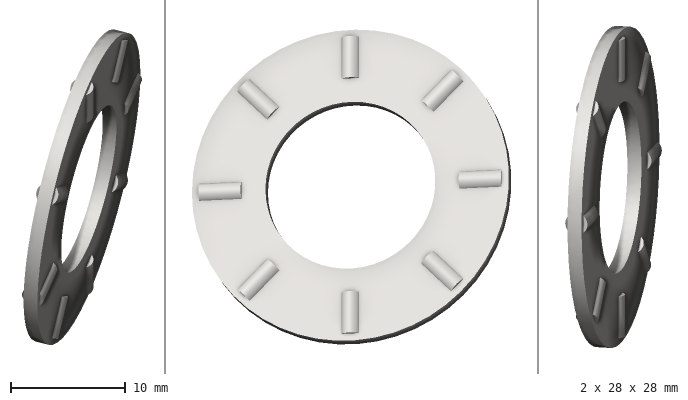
import cadquery as cq

CAGE_DIAMETER = 28.0
BORE_DIAMETER = 15.0
CAGE_THICKNESS = 1.25
ROLLER_DIAMETER = 2.0
ROLLER_LENGTH = 3.72
ROLLER_OUTER_RADIUS = 13.35
ROLLER_COUNT = 8

roller_inner_radius = ROLLER_OUTER_RADIUS - ROLLER_LENGTH
roller_pitch_angle = 360.0 / ROLLER_COUNT


def make_roller(angle):
    """Cylinder pointing radially outward, turned about the bearing axis."""
    return (
        cq.Workplane("XY")
        .workplane(offset=roller_inner_radius)
        .circle(ROLLER_DIAMETER / 2)
        .extrude(ROLLER_LENGTH)
        .rotate((0, 0, 0), (1, 0, 0), angle)
    )


def make_cage(rollers):
    """Flat ring with one matching pocket for each roller."""
    cage = (
        cq.Workplane("YZ", origin=(-CAGE_THICKNESS / 2, 0, 0))
        .circle(CAGE_DIAMETER / 2)
        .circle(BORE_DIAMETER / 2)
        .extrude(CAGE_THICKNESS)
    )
    for roller in rollers:
        cage = cage.cut(roller)
    return cage


rollers = [make_roller(index * roller_pitch_angle) for index in range(ROLLER_COUNT)]
cage = make_cage(rollers)

result = cq.Compound.makeCompound([cage.val(), *[roller.val() for roller in rollers]])